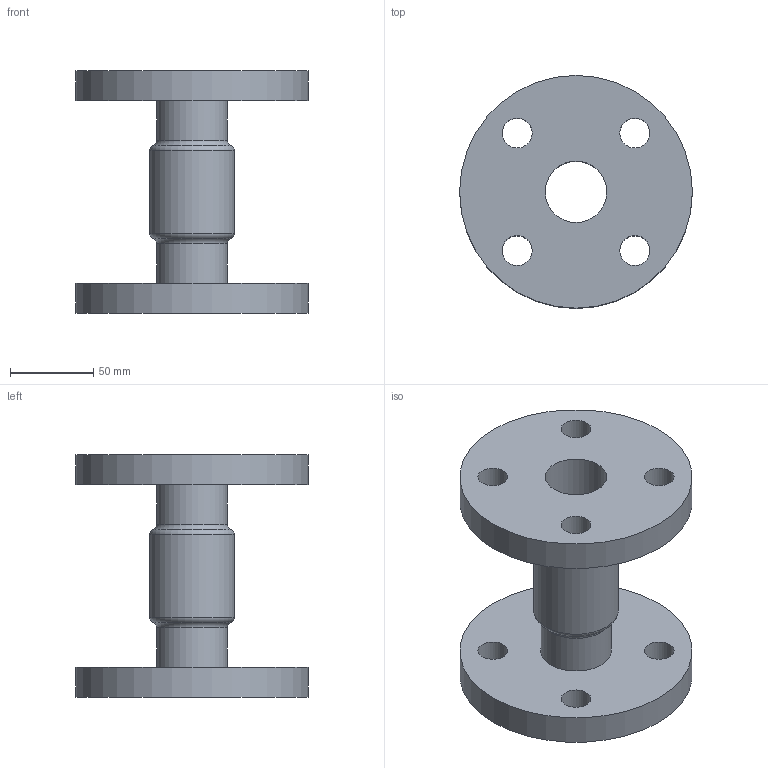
import cadquery as cq

overall_length = 146.0
flange_diameter = 140.0
flange_thickness = 18.0

bolt_circle_diameter = 100.0
bolt_hole_diameter = 18.0
bolt_count = 4
first_bolt_angle = 45.0

bore_diameter = 37.0
pipe_diameter = 42.4
sleeve_diameter = 50.8
sleeve_straight_length = 50.0
shoulder_length = 6.0


def make_body():
    """Flanged pipe with its sleeve and bore, revolved about Z and centred on the origin."""
    bore_radius = bore_diameter / 2
    pipe_radius = pipe_diameter / 2
    sleeve_radius = sleeve_diameter / 2
    flange_radius = flange_diameter / 2
    shoulder_middle_radius = (pipe_radius + sleeve_radius) / 2

    flange_outer = overall_length / 2
    flange_inner = flange_outer - flange_thickness
    sleeve_end = sleeve_straight_length / 2
    shoulder_middle = sleeve_end + shoulder_length / 2
    shoulder_end = sleeve_end + shoulder_length

    return (
        cq.Workplane("XZ")
        .moveTo(bore_radius, -flange_outer)
        .lineTo(flange_radius, -flange_outer)
        .lineTo(flange_radius, -flange_inner)
        .lineTo(pipe_radius, -flange_inner)
        .lineTo(pipe_radius, -shoulder_end)
        .tangentArcPoint((shoulder_middle_radius, -shoulder_middle), relative=False)
        .tangentArcPoint((sleeve_radius, -sleeve_end), relative=False)
        .lineTo(sleeve_radius, sleeve_end)
        .tangentArcPoint((shoulder_middle_radius, shoulder_middle), relative=False)
        .tangentArcPoint((pipe_radius, shoulder_end), relative=False)
        .lineTo(pipe_radius, flange_inner)
        .lineTo(flange_radius, flange_inner)
        .lineTo(flange_radius, flange_outer)
        .lineTo(bore_radius, flange_outer)
        .close()
        .revolve(360, (0, 0, 0), (0, 1, 0))
    )


def make_bolt_holes():
    """Cutters for the bolt holes, running through both flanges."""
    return (
        cq.Workplane("XY")
        .polarArray(bolt_circle_diameter / 2, first_bolt_angle, 360, bolt_count)
        .circle(bolt_hole_diameter / 2)
        .extrude(overall_length / 2, both=True)
    )


result = make_body().cut(make_bolt_holes())